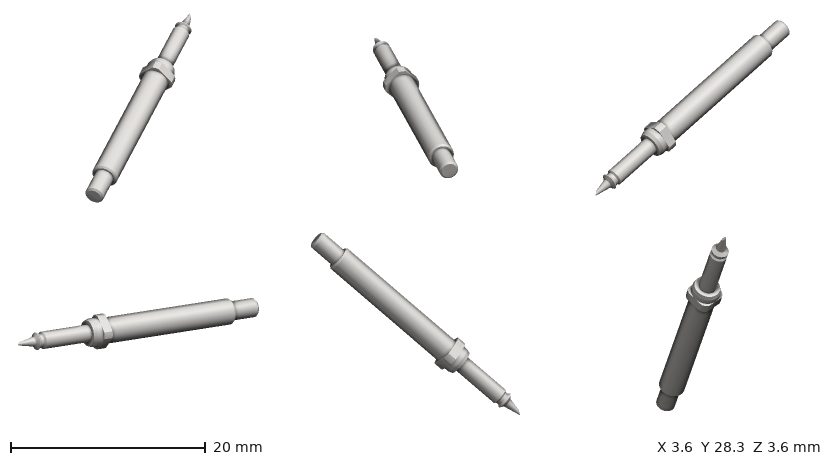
import cadquery as cq
import math


tail_length = 3.0
barrel_length = 15.0
flange_length = 1.0
collar_length = 1.0
overall_length = 28.3

tail_radius = 1.0
barrel_radius = 1.35
collar_radius = 1.5
collar_front_radius = barrel_radius
plunger_radius = 0.9
groove_radius = 0.74
cone_base_radius = 0.5
cone_end_radius = 0.127

tail_chamfer = 0.2
barrel_chamfer_depth = 0.15
barrel_chamfer_length = 0.2
collar_taper_length = 0.42

flange_corner_diameter = 3.6
flange_across_flats = 3.0

cone_length = 1.9
ridge_front_length = 0.3
ridge_land = 0.05
groove_side_length = 0.17
groove_floor_length = 0.35

tip_facet_angle = 35.0

barrel_start = tail_length
flange_start = barrel_start + barrel_length
collar_start = flange_start + flange_length
collar_end = collar_start + collar_length
cone_start = overall_length - cone_length
ridge_front = cone_start - ridge_front_length
ridge_back = ridge_front - ridge_land
groove_front = ridge_back - groove_side_length
groove_back = groove_front - groove_floor_length
plunger_shoulder = groove_back - groove_side_length


def make_turned_body():
    """Revolve the half profile (radius, Y) of the tail, barrel, collar and plunger."""
    profile = [
        (0, 0),
        (tail_radius - tail_chamfer, 0),
        (tail_radius, tail_chamfer),
        (tail_radius, barrel_start),
        (barrel_radius - barrel_chamfer_depth, barrel_start),
        (barrel_radius, barrel_start + barrel_chamfer_length),
        (barrel_radius, flange_start),
        (collar_radius, flange_start),
        (collar_radius, collar_end - collar_taper_length),
        (collar_front_radius, collar_end),
        (plunger_radius, collar_end),
        (plunger_radius, plunger_shoulder),
        (groove_radius, groove_back),
        (groove_radius, groove_front),
        (plunger_radius, ridge_back),
        (plunger_radius, ridge_front),
        (cone_base_radius, cone_start),
        (cone_end_radius, overall_length),
        (0, overall_length),
    ]
    return cq.Workplane("XY").polyline(profile).close().revolve(360, (0, 0), (0, 1))


def make_flange():
    """Square plate turned 45 degrees, trimmed by a concentric cylinder."""
    square = (
        cq.Workplane("XZ", origin=(0, flange_start, 0))
        .transformed(rotate=(0, 0, 45))
        .rect(flange_across_flats, flange_across_flats)
        .extrude(-flange_length)
    )
    disc = (
        cq.Workplane("XZ", origin=(0, flange_start, 0))
        .circle(flange_corner_diameter / 2)
        .extrude(-flange_length)
    )
    return square.intersect(disc)


def make_tip_cutter():
    """Wedge whose sloping face leaves the point of the tip on the -X edge of the cone."""
    width = cone_base_radius + cone_end_radius
    drop = width / math.tan(math.radians(tip_facet_angle))
    return (
        cq.Workplane("XY")
        .moveTo(-cone_end_radius, overall_length)
        .lineTo(cone_base_radius, overall_length - drop)
        .lineTo(cone_base_radius, overall_length)
        .close()
        .extrude(cone_base_radius, both=True)
    )


result = make_turned_body().union(make_flange()).cut(make_tip_cutter())